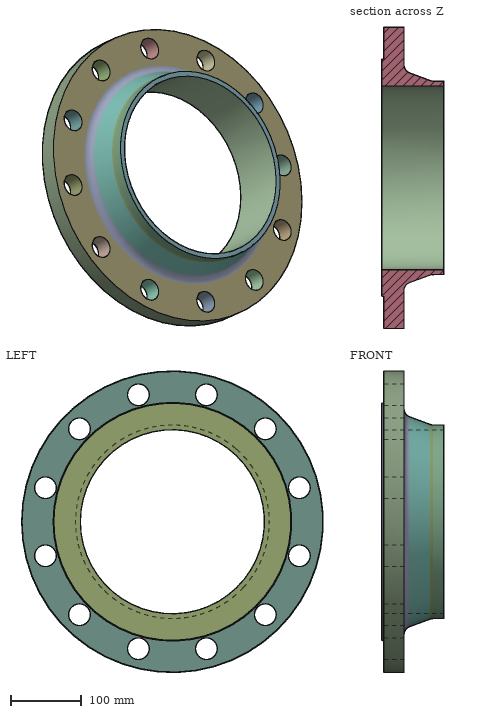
import cadquery as cq

outer_diameter = 425.0
total_length = 88.0
bore_diameter = 259.0

flange_back = 32.0
face_height = 3.0
face_base_diameter = 336.0
face_taper = 1.3
rim_chamfer = 1.0

hole_count = 12
hole_diameter = 30.0
bolt_circle_diameter = 370.0

neck_diameter = 273.0
neck_straight_length = 17.5
hub_diameter = 301.8
root_fillet = 12.0
neck_fillet = 12.0

face_x = -total_length / 2
rim_x = face_x + face_height
back_x = face_x + flange_back
neck_end_x = total_length / 2
cone_end_x = neck_end_x - neck_straight_length


def make_body():
    """Revolve the flange, tapered hub and neck about X."""
    profile = [
        (face_x, bore_diameter / 2),
        (face_x, face_base_diameter / 2 - face_taper),
        (rim_x, face_base_diameter / 2),
        (rim_x, outer_diameter / 2 - rim_chamfer),
        (rim_x + rim_chamfer, outer_diameter / 2),
        (back_x, outer_diameter / 2),
        (back_x, hub_diameter / 2),
        (cone_end_x, neck_diameter / 2),
        (neck_end_x, neck_diameter / 2),
        (neck_end_x, bore_diameter / 2),
    ]
    return cq.Workplane("XY").polyline(profile).close().revolve(360, (0, 0, 0), (1, 0, 0))


def circle_at(x, diameter):
    """Select the circular edge of the given diameter lying at x."""
    margin = 0.5
    reach = diameter / 2 + margin
    return cq.selectors.BoxSelector(
        (x - margin, -reach, -reach), (x + margin, reach, reach), boundingbox=True
    )


def round_hub(body):
    """Blend the hub into the flange and into the straight neck."""
    body = body.edges(circle_at(back_x, hub_diameter)).fillet(root_fillet)
    return body.edges(circle_at(cone_end_x, neck_diameter)).fillet(neck_fillet)


def make_bolt_holes():
    """Through holes on the bolt circle, straddling the Y and Z axes."""
    half_pitch = 180 / hole_count
    return (
        cq.Workplane("YZ", origin=(face_x, 0, 0))
        .polarArray(bolt_circle_diameter / 2, half_pitch, 360, hole_count)
        .circle(hole_diameter / 2)
        .extrude(flange_back)
    )


result = round_hub(make_body()).cut(make_bolt_holes())